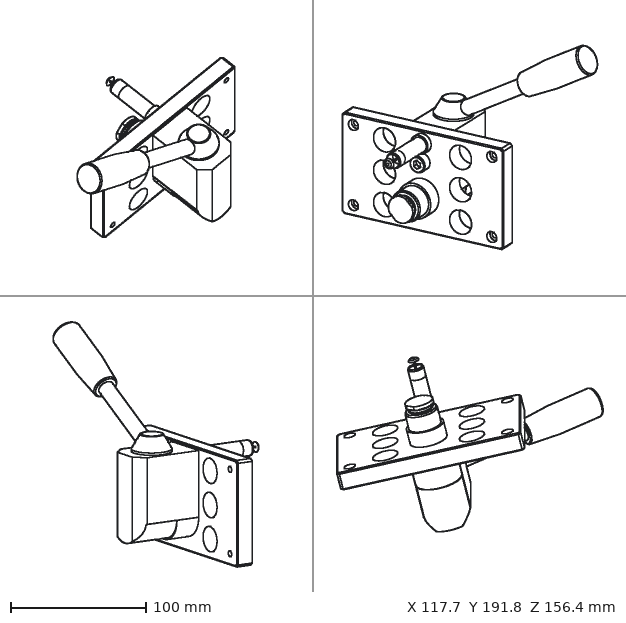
import cadquery as cq
import math


plate_thickness = 14.0
plate_width = 140.0
plate_height = 81.0
plate_corner_chamfer = 2.0
plate_edge_chamfer = 1.0

hole_center_z = 40.7
large_hole_diameter = 19.0
large_hole_offset_y = 33.0
large_hole_row_pitch = 26.0
screw_hole_diameter = 4.5
counterbore_diameter = 8.5
counterbore_depth = 4.5
screw_hole_spacing_y = 120.1
screw_hole_spacing_z = 64.1

housing_back_x = 68.0
housing_width = 35.9
housing_top_z = 79.3
housing_corner_chamfer = 8.0
housing_bottom_radius = 17.5
housing_bottom_axis_z = 29.5
housing_collar_radius = 17.7
housing_collar_end_x = 33.2

pin_z = 71.2
pin_collar_radius = 15.0 / 2
pin_collar_length = 4.6
pin_radius = 12.0 / 2
pin_length = 42.2
pin_chamfer_length = 1.2
pin_chamfer_depth = 0.48
pin_bore_radius = 5.4
pin_bore_depth = 8.6
pin_tip_gap = 5.4
pin_tip_stem_radius = 0.5
pin_tip_radius = 8.0 / 2
pin_tip_flat_radius = 1.2
pin_tip_shoulder_radius = 2.7
pin_tip_shoulder_length = 1.3
pin_tip_length = 2.1

screw_z = 56.5
screw_head_diameter = 13.0
screw_head_length = 7.9
screw_head_chamfer = 0.8
socket_corner_diameter = 6.7
socket_depth = 3.8
socket_cone_depth = 1.7

plunger_z = 28.5
plunger_base_radius = 28.2 / 2
plunger_base_length = 11.5
plunger_body_radius = 24.5 / 2
plunger_body_end = 24.8
plunger_body_chamfer_length = 1.3
plunger_body_chamfer_depth = 0.8
plunger_groove_radius = 8.8
plunger_ring_radius = 19.0 / 2
plunger_ring_start = 25.5
plunger_ring_end = 27.6
plunger_head_radius = 10.5
plunger_head_start = 28.2
plunger_head_end = 31.3
plunger_flat_distance = 9.8
plunger_flat_angle = 45

hub_x = 44.1
hub_base_radius = 15.2
hub_base_height = 1.7
hub_top_z = 92.3
hub_top_radius = 8.8
hub_top_chamfer_depth = 0.8
hub_top_chamfer_height = 0.4

lever_pivot_z = 79.8
lever_angle = 30
lever_rod_radius = 11.9 / 2
lever_rod_start = 7.7
grip_start = 71.8
grip_start_radius = 9.5
grip_start_chamfer = 1.0
grip_taper_end = 97.9
grip_radius = 11.5
grip_end = 133.2
grip_rim_end = 134.5
grip_rim_radius = 10.7
grip_dome_end = 136.8


def forward_plane(z):
    """Plane on the plate front at height z, whose normal points forward (-X) and whose x axis is -Y."""
    return cq.Plane(origin=(0, 0, z), xDir=(0, -1, 0), normal=(-1, 0, 0))


def turned_forward(z, profile):
    """Turned body about a forward axis; the profile lists (radius, distance ahead of the plate front)."""
    plane = cq.Plane(origin=(0, 0, z), xDir=(0, 0, 1), normal=(0, 1, 0))
    embedded = [(0, -plate_thickness / 2), (profile[0][0], -plate_thickness / 2)]
    points = embedded + profile + [(0, profile[-1][1])]
    outline = cq.Workplane(plane).polyline([(radius, -ahead) for radius, ahead in points]).close()
    return outline.revolve(360, (0, 0, 0), (0, 1, 0))


def make_plate():
    plate = cq.Workplane("XY").box(plate_thickness, plate_width, plate_height, centered=(False, True, False))
    plate = plate.edges("|X").chamfer(plate_corner_chamfer)
    plate = plate.faces("<X or >X").edges().chamfer(plate_edge_chamfer)
    face = cq.Workplane(forward_plane(hole_center_z))
    large_holes = face.rarray(2 * large_hole_offset_y, large_hole_row_pitch, 2, 3)
    plate = plate.cut(large_holes.circle(large_hole_diameter / 2).extrude(-plate_thickness))
    screw_holes = face.rarray(screw_hole_spacing_y, screw_hole_spacing_z, 2, 2)
    plate = plate.cut(screw_holes.circle(screw_hole_diameter / 2).extrude(-plate_thickness))
    return plate.cut(screw_holes.circle(counterbore_diameter / 2).extrude(-counterbore_depth))


def make_housing():
    start_x = plate_thickness / 2
    length = housing_back_x - start_x
    upper = cq.Workplane("XY", origin=(start_x, 0, plunger_z))
    housing = upper.box(length, housing_width, housing_top_z - plunger_z, centered=(False, True, False))
    bottom = cq.Workplane("YZ", origin=(start_x, 0, housing_bottom_axis_z))
    housing = housing.union(bottom.circle(housing_bottom_radius).extrude(length))
    collar = cq.Workplane("YZ", origin=(start_x, 0, plunger_z))
    housing = housing.union(collar.circle(housing_collar_radius).extrude(housing_collar_end_x - start_x))
    half_width = housing_width / 2
    for side in (-1, 1):
        corner = [
            (housing_back_x - housing_corner_chamfer, side * half_width),
            (housing_back_x, side * half_width),
            (housing_back_x, side * (half_width - housing_corner_chamfer)),
        ]
        housing = housing.cut(cq.Workplane("XY").polyline(corner).close().extrude(housing_top_z))
    return housing


def make_pin():
    """Hollow-ended pin with a rounded tip, held ahead of it on a thin stem from the bore floor."""
    bore_floor = pin_length - pin_bore_depth
    tip_start = pin_length + pin_tip_gap
    return turned_forward(pin_z, [
        (pin_collar_radius, pin_collar_length),
        (pin_radius, pin_collar_length),
        (pin_radius, pin_length - pin_chamfer_length),
        (pin_radius - pin_chamfer_depth, pin_length),
        (pin_bore_radius, pin_length),
        (pin_bore_radius, bore_floor),
        (pin_tip_stem_radius, bore_floor),
        (pin_tip_stem_radius, tip_start),
        (pin_tip_radius, tip_start),
        (pin_tip_shoulder_radius, tip_start + pin_tip_shoulder_length),
        (pin_tip_flat_radius, tip_start + pin_tip_length),
    ])


def make_socket_screw():
    head = cq.Workplane(forward_plane(screw_z)).circle(screw_head_diameter / 2).extrude(screw_head_length)
    head = head.faces("<X").edges().chamfer(screw_head_chamfer)
    socket = cq.Workplane(forward_plane(screw_z)).workplane(offset=screw_head_length)
    socket = socket.transformed(rotate=(0, 0, 90)).polygon(6, socket_corner_diameter).extrude(-socket_depth)
    inscribed_radius = socket_corner_diameter / 2 * math.cos(math.radians(30))
    floor_x = socket_depth - screw_head_length
    cone = cq.Solid.makeCone(
        inscribed_radius, 0, socket_cone_depth, pnt=cq.Vector(floor_x, 0, screw_z), dir=cq.Vector(1, 0, 0)
    )
    return head.cut(socket).cut(cq.Workplane(cone))


def make_plunger():
    plunger = turned_forward(plunger_z, [
        (plunger_base_radius, plunger_base_length),
        (plunger_body_radius, plunger_base_length),
        (plunger_body_radius, plunger_body_end - plunger_body_chamfer_length),
        (plunger_body_radius - plunger_body_chamfer_depth, plunger_body_end),
        (plunger_groove_radius, plunger_body_end),
        (plunger_groove_radius, plunger_ring_start),
        (plunger_ring_radius, plunger_ring_start),
        (plunger_ring_radius, plunger_ring_end),
        (plunger_groove_radius, plunger_ring_end),
        (plunger_groove_radius, plunger_head_start),
        (plunger_head_radius, plunger_head_start),
        (plunger_head_radius, plunger_head_end),
    ])
    head_plane = cq.Workplane(forward_plane(plunger_z)).workplane(offset=plunger_head_start)
    head_plane = head_plane.transformed(rotate=(0, 0, plunger_flat_angle))
    flat_cutters = head_plane.pushPoints(
        [(side * (plunger_flat_distance + plunger_head_radius / 2), 0) for side in (-1, 1)]
    )
    flat_cutters = flat_cutters.rect(plunger_head_radius, 2 * plunger_head_radius)
    return plunger.cut(flat_cutters.extrude(plunger_head_end - plunger_head_start))


def make_hub():
    base_top_z = housing_top_z + hub_base_height
    profile = [
        (0, housing_top_z),
        (hub_base_radius, housing_top_z),
        (hub_base_radius, base_top_z),
        (hub_top_radius, hub_top_z - hub_top_chamfer_height),
        (hub_top_radius - hub_top_chamfer_depth, hub_top_z),
        (0, hub_top_z),
    ]
    hub = cq.Workplane("XZ").polyline(profile).close().revolve(360, (0, 0, 0), (0, 1, 0))
    return hub.translate((hub_x, 0, 0))


def make_lever():
    angle = math.radians(lever_angle)
    plane = cq.Plane(
        origin=(hub_x, 0, lever_pivot_z), xDir=(1, 0, 0), normal=(0, -math.sin(angle), -math.cos(angle))
    )
    outline = (
        cq.Workplane(plane)
        .moveTo(0, lever_rod_start)
        .lineTo(lever_rod_radius, lever_rod_start)
        .lineTo(lever_rod_radius, grip_start)
        .lineTo(grip_start_radius - grip_start_chamfer, grip_start)
        .lineTo(grip_start_radius, grip_start + grip_start_chamfer)
        .lineTo(grip_radius, grip_taper_end)
        .lineTo(grip_radius, grip_end)
        .lineTo(grip_rim_radius, grip_rim_end)
    )
    dome_height = grip_dome_end - grip_rim_end
    sphere_radius = (grip_rim_radius**2 + dome_height**2) / (2 * dome_height)
    outline = outline.radiusArc((0, grip_dome_end), -sphere_radius).close()
    return outline.revolve(360, (0, 0, 0), (0, 1, 0))


result = (
    make_plate()
    .union(make_housing())
    .union(make_pin())
    .union(make_socket_screw())
    .union(make_plunger())
    .union(make_hub())
    .union(make_lever())
)